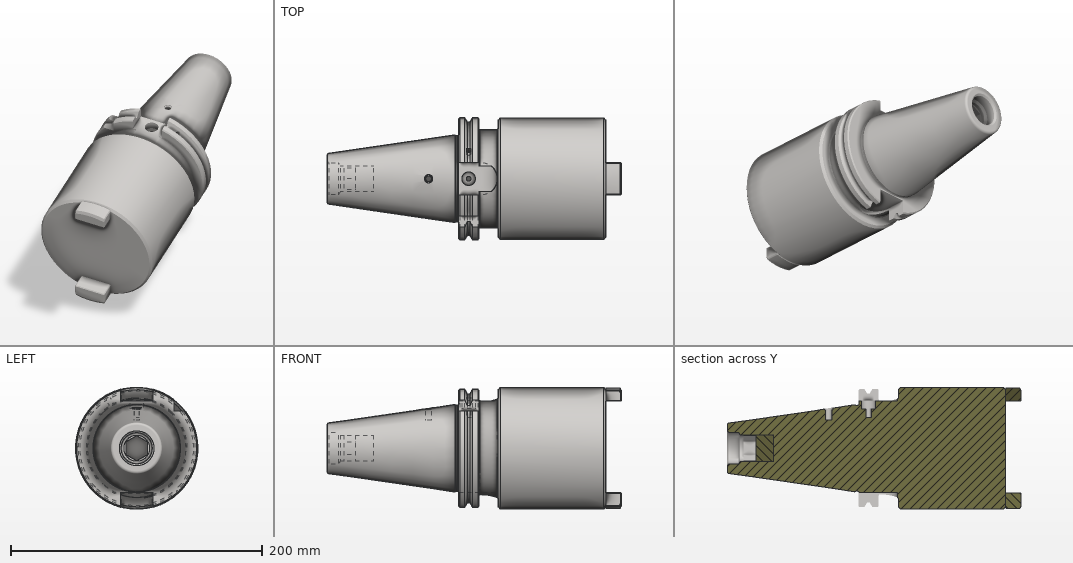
import cadquery as cq
import math

TOTAL_LENGTH = 234.2

TAPER_LENGTH = 101.7
GAUGE_RADIUS = 35.0
TAPER_SLOPE = 7 / 48
SMALL_END_RADIUS = GAUGE_RADIUS - TAPER_LENGTH * TAPER_SLOPE
SMALL_END_FILLET = 2.0

UNDERCUT_RADIUS = 34.5
UNDERCUT_CORNER = 1.0

FLANGE_START = 104.7
FLANGE_END = 120.9
FLANGE_RADIUS = 48.7
FLANGE_CHAMFER = 1.0
GROOVE_CENTER = 112.7
GROOVE_OPENING = 6.3
GROOVE_FLOOR_WIDTH = 2.0
GROOVE_FLOOR_RADIUS = 45.2

NECK_RADIUS = 39.1
NECK_FILLET = 1.0
HEAD_START = 136.0
HEAD_END = 221.8
HEAD_RADIUS = 48.5
HEAD_CHAMFER = 1.9

SLOT_WIDTH = 25.5
SLOT_END = 135.5
UPPER_SLOT_FLOOR = 37.7
UPPER_SLOT_NECK_WIDTH = 20.1
UPPER_SLOT_ARC_RISE = 4.5
LOWER_SLOT_FLOOR = 35.4

NOTCH_DISTANCE = 29.7

GROOVE_HOLE_RADIUS = 1.9
GROOVE_HOLE_DEPTH = 4.7
GROOVE_HOLE_ANGLE = 30.0

COOLANT_RADIUS = 5.5
COOLANT_DEPTH = 6.0
COOLANT_PASSAGE_RADIUS = 1.9
COOLANT_PASSAGE_DEPTH = 7.0

TAPER_HOLE_X = 80.8
TAPER_HOLE_RADIUS = 2.3
TAPER_HOLE_DEPTH = 9.4
TAPER_HOLE_RIM_RADIUS = 3.3
TAPER_HOLE_RIM_DEPTH = 1.2

COUNTERBORE_RADIUS = 12.5
COUNTERBORE_DEPTH = 9.1
BORE_RADIUS = 10.3
BORE_CHAMFER = 1.5

SCREW_START = 13.4
SCREW_LENGTH = 23.5
SCREW_END = SCREW_START + SCREW_LENGTH
SOCKET_ACROSS_FLATS = 17.3
SOCKET_DEPTH = 9.4
SOCKET_ANGLE = 90

KEY_WIDTH = 25.5
UPPER_KEY_INNER_HEIGHT = 37.5
LOWER_KEY_INNER_HEIGHT = 35.4
KEY_OUTER_RADIUS = 48.0
KEY_CHAMFER = 0.7
KEY_TIP_BEVEL_LENGTH = 2.3
KEY_TIP_BEVEL_DROP = 1.2


def x_cylinder(radius, start, end):
    return cq.Workplane("YZ", origin=(start, 0, 0)).circle(radius).extrude(end - start)


def z_cylinder(radius, x, top, depth):
    return cq.Workplane("XY", origin=(x, 0, top - depth)).circle(radius).extrude(depth)


def revolve_about_x(profile):
    return cq.Workplane("XY").polyline(profile).close().revolve(360, (0, 0, 0), (1, 0, 0))


def taper_shank():
    profile = [(0, 0), (0, SMALL_END_RADIUS), (TAPER_LENGTH, GAUGE_RADIUS), (TAPER_LENGTH, 0)]
    return revolve_about_x(profile).faces("<X").edges().fillet(SMALL_END_FILLET)


def undercut_collar():
    profile = [
        (TAPER_LENGTH, 0),
        (TAPER_LENGTH, GAUGE_RADIUS),
        (TAPER_LENGTH + UNDERCUT_CORNER, UNDERCUT_RADIUS),
        (FLANGE_START - UNDERCUT_CORNER, UNDERCUT_RADIUS),
        (FLANGE_START, GAUGE_RADIUS),
        (FLANGE_START, 0),
    ]
    return revolve_about_x(profile)


def neck():
    corner = NECK_FILLET * (1 - math.sqrt(0.5))
    filleted_radius = NECK_RADIUS + NECK_FILLET
    return (
        cq.Workplane("XY")
        .moveTo(FLANGE_END, 0)
        .lineTo(FLANGE_END, filleted_radius)
        .threePointArc((FLANGE_END + corner, NECK_RADIUS + corner), (FLANGE_END + NECK_FILLET, NECK_RADIUS))
        .lineTo(HEAD_START - NECK_FILLET, NECK_RADIUS)
        .threePointArc((HEAD_START - corner, NECK_RADIUS + corner), (HEAD_START, filleted_radius))
        .lineTo(HEAD_START, 0)
        .close()
        .revolve(360, (0, 0, 0), (1, 0, 0))
    )


def v_groove():
    half_floor = GROOVE_FLOOR_WIDTH / 2
    half_opening = GROOVE_OPENING / 2
    profile = [
        (GROOVE_CENTER - half_opening, FLANGE_RADIUS),
        (GROOVE_CENTER - half_floor, GROOVE_FLOOR_RADIUS),
        (GROOVE_CENTER + half_floor, GROOVE_FLOOR_RADIUS),
        (GROOVE_CENTER + half_opening, FLANGE_RADIUS),
    ]
    return revolve_about_x(profile)


def flange():
    disc = x_cylinder(FLANGE_RADIUS, FLANGE_START, FLANGE_END).edges().chamfer(FLANGE_CHAMFER)
    return disc.cut(v_groove()).cut(orientation_notch())


def orientation_notch():
    size = FLANGE_RADIUS - NOTCH_DISTANCE
    block = cq.Workplane("XY").box(FLANGE_END - FLANGE_START, size, size, centered=False)
    return block.translate((FLANGE_START, -FLANGE_RADIUS, NOTCH_DISTANCE))


def upper_slot():
    half_width = SLOT_WIDTH / 2
    half_neck = UPPER_SLOT_NECK_WIDTH / 2
    arc_start = SLOT_END - UPPER_SLOT_ARC_RISE
    return (
        cq.Workplane("XY", origin=(0, 0, UPPER_SLOT_FLOOR))
        .moveTo(FLANGE_START, -half_width)
        .lineTo(FLANGE_END, -half_width)
        .lineTo(FLANGE_END, -half_neck)
        .lineTo(arc_start, -half_neck)
        .threePointArc((SLOT_END, 0), (arc_start, half_neck))
        .lineTo(FLANGE_END, half_neck)
        .lineTo(FLANGE_END, half_width)
        .lineTo(FLANGE_START, half_width)
        .close()
        .extrude(FLANGE_RADIUS - UPPER_SLOT_FLOOR)
    )


def lower_slot():
    half_width = SLOT_WIDTH / 2
    arc_start = SLOT_END - half_width
    return (
        cq.Workplane("XY", origin=(0, 0, -FLANGE_RADIUS))
        .moveTo(FLANGE_START, -half_width)
        .lineTo(arc_start, -half_width)
        .threePointArc((SLOT_END, 0), (arc_start, half_width))
        .lineTo(FLANGE_START, half_width)
        .close()
        .extrude(FLANGE_RADIUS - LOWER_SLOT_FLOOR)
    )


def groove_hole():
    depth = FLANGE_RADIUS - GROOVE_FLOOR_RADIUS + GROOVE_HOLE_DEPTH
    hole = z_cylinder(GROOVE_HOLE_RADIUS, GROOVE_CENTER, FLANGE_RADIUS, depth)
    return hole.rotate((0, 0, 0), (1, 0, 0), -GROOVE_HOLE_ANGLE)


def coolant_hole():
    bottom = UPPER_SLOT_FLOOR - COOLANT_DEPTH
    wide = z_cylinder(COOLANT_RADIUS, GROOVE_CENTER, UPPER_SLOT_FLOOR, COOLANT_DEPTH)
    return wide.union(z_cylinder(COOLANT_PASSAGE_RADIUS, GROOVE_CENTER, bottom, COOLANT_PASSAGE_DEPTH))


def taper_hole():
    surface = SMALL_END_RADIUS + TAPER_HOLE_X * TAPER_SLOPE
    rim_bottom = surface - TAPER_HOLE_RIM_DEPTH
    rim = z_cylinder(TAPER_HOLE_RIM_RADIUS, TAPER_HOLE_X, GAUGE_RADIUS, GAUGE_RADIUS - rim_bottom)
    return rim.union(z_cylinder(TAPER_HOLE_RADIUS, TAPER_HOLE_X, surface, TAPER_HOLE_DEPTH))


def bore():
    profile = [
        (0, 0),
        (0, COUNTERBORE_RADIUS + BORE_CHAMFER),
        (BORE_CHAMFER, COUNTERBORE_RADIUS),
        (COUNTERBORE_DEPTH, COUNTERBORE_RADIUS),
        (COUNTERBORE_DEPTH + BORE_CHAMFER, BORE_RADIUS),
        (SCREW_END, BORE_RADIUS),
        (SCREW_END, 0),
    ]
    return revolve_about_x(profile)


def make_holder():
    head = x_cylinder(HEAD_RADIUS, HEAD_START, HEAD_END).edges().chamfer(HEAD_CHAMFER)
    body = taper_shank().union(undercut_collar()).union(flange()).union(neck()).union(head)
    for cutter in (upper_slot(), lower_slot(), groove_hole(), coolant_hole(), taper_hole(), bore()):
        body = body.cut(cutter)
    return body


def make_screw():
    socket = (
        cq.Workplane("YZ", origin=(SCREW_START, 0, 0))
        .polygon(6, SOCKET_ACROSS_FLATS / math.cos(math.pi / 6))
        .extrude(SOCKET_DEPTH)
        .rotate((0, 0, 0), (1, 0, 0), SOCKET_ANGLE)
    )
    return x_cylinder(BORE_RADIUS, SCREW_START, SCREW_END).cut(socket)


def make_key(inner_height, angle):
    length = TOTAL_LENGTH - HEAD_END
    height = KEY_OUTER_RADIUS - inner_height
    blank = cq.Workplane("XY").box(length, KEY_WIDTH, height, centered=(False, True, False))
    blank = blank.translate((HEAD_END, 0, inner_height))
    envelope = x_cylinder(KEY_OUTER_RADIUS, HEAD_END, TOTAL_LENGTH)
    envelope = envelope.faces(">X").chamfer(KEY_TIP_BEVEL_DROP, KEY_TIP_BEVEL_LENGTH)
    key = blank.intersect(envelope)
    key = key.faces("|Y or <Z").edges("not <X").chamfer(KEY_CHAMFER)
    return key.rotate((0, 0, 0), (1, 0, 0), angle)


holder = make_holder()
screw = make_screw()
keys = [make_key(*place) for place in ((UPPER_KEY_INNER_HEIGHT, 0), (LOWER_KEY_INNER_HEIGHT, 180))]

result = cq.Compound.makeCompound([holder.val(), screw.val(), *[key.val() for key in keys]])